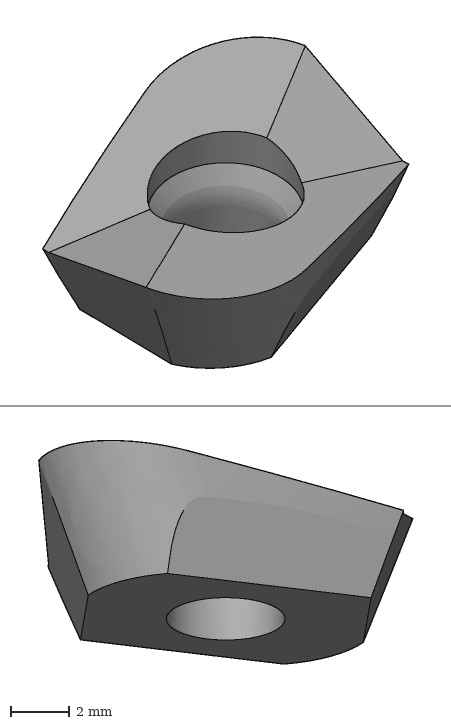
import cadquery as cq
import math


length = 14.0
height = 4.76
oversize = 42.0

flank_slope = math.tan(math.radians(20))
seat_half_width = 3.51
seat_corner_y = -4.1
end_turn = 14.9

seat_round_radius = 4.06
seat_round_center = (-0.03, 1.2)
tip_round_radius = 3.99
tip_flat_depth = 0.004
tip_round_center = (-0.78, length / 2 + tip_flat_depth - tip_round_radius)
round_end_angle = 70.0

seat_side_end = (-3.57, -4.48)
seat_side_bow = 0.04
tip_side_end = (-5.05, -6.3)
tip_side_bow = 0.01

rake_slope = 0.15
ridge_height = height - rake_slope * length / 2
ramp_apex_x = -0.66
ramp_slope_x = 0.336
ramp_slope_y = -0.089

head_radius = 2.7
cone_bottom_radius = 2.23
screw_radius = 2.05
cone_top_z = 2.66
cone_bottom_z = 2.02
bore_top_z = 1.3


def half_turn(shape):
    return shape.rotate((0, 0, 0), (0, 0, 1), 180)


def block_beyond(point, normal):
    """Large block on the side of a plane that its normal points to."""
    plane = cq.Plane(origin=point, normal=normal)
    return cq.Workplane(plane).rect(oversize, oversize).extrude(oversize)


def side_profile(z, center, radius, side_end, bow):
    """Closed outline of the round corner and bowed side, open-ended toward +X."""
    center_x, center_y = center

    def on_round(degrees):
        angle = math.radians(degrees)
        return (center_x + radius * math.cos(angle), center_y + radius * math.sin(angle))

    round_start = on_round(round_end_angle)
    round_end = on_round(180)
    chord_x = side_end[0] - round_end[0]
    chord_y = side_end[1] - round_end[1]
    chord = math.hypot(chord_x, chord_y)
    side_middle = (
        (round_end[0] + side_end[0]) / 2 + bow * chord_y / chord,
        (round_end[1] + side_end[1]) / 2 - bow * chord_x / chord,
    )
    return (
        cq.Workplane("XY", origin=(0, 0, z))
        .moveTo(*round_start)
        .threePointArc(on_round((round_end_angle + 180) / 2), round_end)
        .threePointArc(side_middle, side_end)
        .lineTo(side_end[0], -length)
        .lineTo(length, -length)
        .lineTo(length, round_start[1])
        .close()
        .val()
    )


def curved_half():
    """Body bounded by the curved flank on the -X side only."""
    seat = side_profile(0, seat_round_center, seat_round_radius, seat_side_end, seat_side_bow)
    tip = side_profile(height, tip_round_center, tip_round_radius, tip_side_end, tip_side_bow)
    return cq.Workplane(cq.Solid.makeLoft([seat, tip], True))


def flank_trims():
    """Blocks outside the flat -X flank, the turned -Y end flank and the narrow tip flat."""
    corner = (-seat_half_width, seat_corner_y, 0)
    turn = math.radians(end_turn)
    side = block_beyond(corner, (-1, 0, -flank_slope))
    end = block_beyond(corner, (-math.sin(turn), -math.cos(turn), -flank_slope))
    tip_flat = block_beyond((0, -length / 2, height), (0, -1, -flank_slope))
    return side, end, tip_flat


def top_trims():
    """Space above the main faces and above the ramp at the -Y end."""
    ridge = (ramp_apex_x, 0, ridge_height)
    above_left = block_beyond(ridge, (0, -rake_slope, 1))
    above_right = half_turn(above_left)
    above_ramp = block_beyond(ridge, (-ramp_slope_x, -ramp_slope_y, 1))
    return above_left.intersect(above_right), above_left.intersect(above_ramp)


def screw_hole():
    """Head bore, conical seat and a rounded run-in to the screw bore."""
    return (
        cq.Workplane("XZ")
        .lineTo(screw_radius, 0)
        .lineTo(screw_radius, bore_top_z)
        .tangentArcPoint((cone_bottom_radius, cone_bottom_z), relative=False)
        .lineTo(head_radius, cone_top_z)
        .lineTo(head_radius, height)
        .lineTo(0, height)
        .close()
        .revolve(360, (0, 0, 0), (0, 1, 0))
    )


half = curved_half()
body = half.intersect(half_turn(half))

for trim in (*flank_trims(), *top_trims()):
    body = body.cut(trim).cut(half_turn(trim))

result = body.cut(screw_hole())